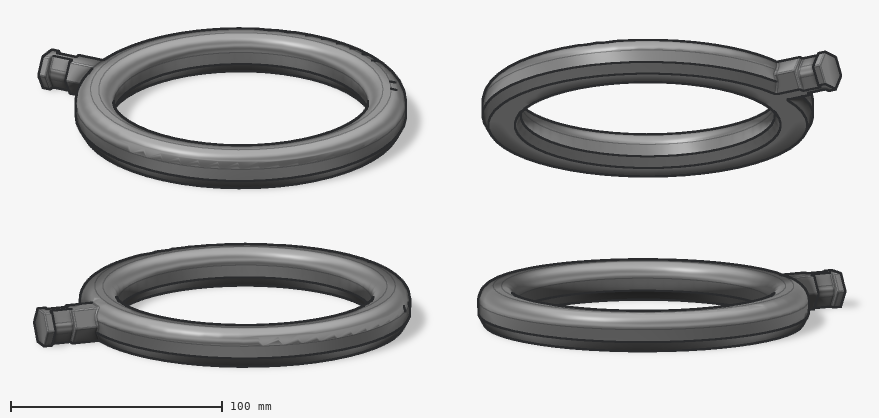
import cadquery as cq
import math

overall_length = 181.0
ring_outer_diameter = 156.0
ring_inner_diameter = 120.0
ring_height = 18.0
crown_radius = 7.0
chamfer_height = 4.9
chamfer_width = 2.7

hex_flats = 16.3
head_length = 4.2
groove_length = 10.1
neck_corner_radius = 5.5
neck_flat_width = 4.0
edge_radius = 0.9
rim_radius = 0.5

ring_outer_radius = ring_outer_diameter / 2
ring_inner_radius = ring_inner_diameter / 2
ring_mid_radius = (ring_outer_radius + ring_inner_radius) / 2
stem_length = overall_length - ring_outer_radius
stem_end_x = -stem_length
stem_body_length = stem_length - ring_mid_radius


def make_ring():
    """Revolve the ring section: rounded on top, chamfered below."""
    shoulder_z = ring_height - crown_radius
    arc_offset = crown_radius * (1 - math.sqrt(0.5))
    arc_z = ring_height - arc_offset
    return (
        cq.Workplane("XZ")
        .moveTo(ring_inner_radius + chamfer_width, 0)
        .lineTo(ring_outer_radius - chamfer_width, 0)
        .lineTo(ring_outer_radius, chamfer_height)
        .lineTo(ring_outer_radius, shoulder_z)
        .threePointArc(
            (ring_outer_radius - arc_offset, arc_z),
            (ring_outer_radius - crown_radius, ring_height),
        )
        .lineTo(ring_inner_radius + crown_radius, ring_height)
        .threePointArc(
            (ring_inner_radius + arc_offset, arc_z),
            (ring_inner_radius, shoulder_z),
        )
        .lineTo(ring_inner_radius, chamfer_height)
        .close()
        .revolve(360, (0, 0, 0), (0, 1, 0))
    )


def hex_bar(start_x, length, flat_width):
    """Bar along +X resting on Z = 0, with a six-sided section whose sides slope at 60 degrees."""
    half_flat = flat_width / 2
    half_height = hex_flats / 2
    half_corners = half_flat + half_height * math.tan(math.radians(30))
    section = [
        (half_flat, half_height),
        (half_corners, 0),
        (half_flat, -half_height),
        (-half_flat, -half_height),
        (-half_corners, 0),
        (-half_flat, half_height),
    ]
    return (
        cq.Workplane("YZ", origin=(start_x, 0, half_height))
        .polyline(section)
        .close()
        .extrude(length)
    )


def make_stem():
    """Hexagonal head and body joined by a narrower neck with rounded side corners."""
    hex_side = hex_flats / math.sqrt(3)
    body_start = head_length + groove_length
    head = hex_bar(stem_end_x, head_length, hex_side)
    neck = hex_bar(stem_end_x + head_length, groove_length, neck_flat_width)
    neck = neck.edges("|X").edges("<Y or >Y").fillet(neck_corner_radius)
    body = hex_bar(stem_end_x + body_start, stem_body_length - body_start, hex_side)
    return head.union(neck).union(body)


def edges_between(part, start_x, end_x):
    """Edges centred between two X positions, no higher than the stem and clear of the flat underside."""
    clearance = 0.09
    return part.edges(
        cq.selectors.BoxSelector(
            (start_x - clearance, -hex_flats, clearance),
            (end_x + clearance, hex_flats, hex_flats + clearance),
        )
    )


def round_stem(part):
    """Round the head and body corners and the ring joint together, then the end and groove rims."""
    groove_start_x = stem_end_x + head_length
    groove_end_x = groove_start_x + groove_length

    head_corners = edges_between(part, stem_end_x, groove_start_x).edges("|X")
    body_corners = edges_between(part, groove_end_x, -ring_outer_radius).edges("|X")
    joint = edges_between(part, -ring_outer_radius, -ring_mid_radius)
    rounded_edges = head_corners.vals() + body_corners.vals() + joint.vals()
    rounded = part.newObject(rounded_edges).fillet(edge_radius)

    rim_positions = [stem_end_x, groove_start_x, groove_end_x]
    rims = [edge for x in rim_positions for edge in edges_between(rounded, x, x).vals()]
    return rounded.newObject(rims).fillet(rim_radius)


result = round_stem(make_ring().union(make_stem()))